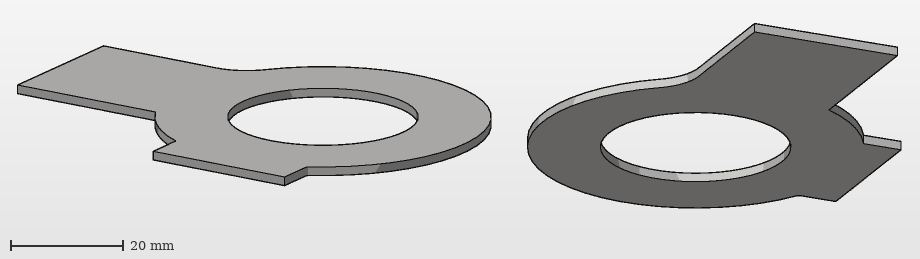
import cadquery as cq
import math

thickness = 1.6
outer_radius = 30.0
hole_diameter = 34.0
tab_width = 28.0
long_tab_reach = 56.0
short_tab_reach = 33.9
neck_radius = 10.0
root_radius = 1.0

half_width = tab_width / 2
tab_root = math.sqrt(outer_radius**2 - half_width**2)


def blend_contacts(radius):
    """Contacts of a blend between a tab side and the outer circle.

    Returns each as (along the tab, across the tab) from the hole centre:
    first the contact on the tab side, then the one on the outer circle.
    """
    center_distance = outer_radius + radius
    across = half_width + radius
    along = math.sqrt(center_distance**2 - across**2)
    ratio = outer_radius / center_distance
    return (along, half_width), (along * ratio, across * ratio)


neck_on_tab, neck_on_circle = blend_contacts(neck_radius)
root_on_tab, root_on_circle = blend_contacts(root_radius)

diagonal = -outer_radius * math.sqrt(0.5)

outline = (
    cq.Workplane("XY")
    .moveTo(-long_tab_reach, -half_width)
    .lineTo(-long_tab_reach, half_width)
    .lineTo(-neck_on_tab[0], neck_on_tab[1])
    .tangentArcPoint((-neck_on_circle[0], neck_on_circle[1]), relative=False)
    .threePointArc((outer_radius, 0), (root_on_circle[1], -root_on_circle[0]))
    .tangentArcPoint((root_on_tab[1], -root_on_tab[0]), relative=False)
    .lineTo(half_width, -short_tab_reach)
    .lineTo(-half_width, -short_tab_reach)
    .lineTo(-half_width, -tab_root)
    .threePointArc((diagonal, diagonal), (-tab_root, -half_width))
    .close()
)
plate = outline.extrude(thickness)

result = plate.faces(">Z").workplane(origin=(0, 0, thickness)).hole(hole_diameter)